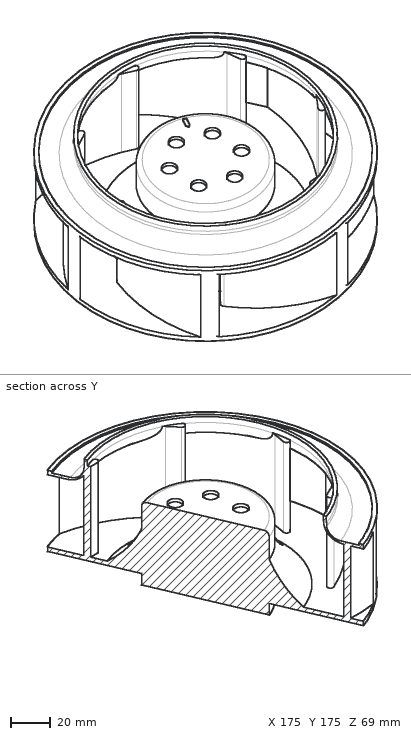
import cadquery as cq
import math


IMPELLER_RADIUS = 87.5
PLATE_THICKNESS = 3.0

SHEET_THICKNESS = 2.0
SHROUD_RIM_TOP = 50.0
RIM_WIDTH = 2.5
RIM_STEP = 1.0
SHROUD_TOP = SHROUD_RIM_TOP - RIM_STEP
SHROUD_UNDERSIDE = SHROUD_TOP - SHEET_THICKNESS

THROAT_OUTER_RADIUS = 67.35
THROAT_FLARE_RADIUS = 7.4
COLLAR_OUTER_RADIUS = 67.2
COLLAR_BASE = 58.5
COLLAR_TOP = 62.0
FLARE_MIDDLE_ANGLE = 225.0
THROAT_TOP = SHROUD_TOP + THROAT_FLARE_RADIUS
FLARE_END_RADIUS = THROAT_OUTER_RADIUS + THROAT_FLARE_RADIUS

AIR_OVERRUN = 2.0

HUB_RADIUS = 35.4
HUB_BOTTOM = -7.0
HUB_TOP = 44.5
HUB_EDGE_FILLET = 3.0
FILLET_MIDDLE_ANGLE = 45.0
SKIRT_TOP = 27.5
SKIRT_BASE_RADIUS = 54.3
SKIRT_SAG = 2.0

HOLE_COUNT = 6
HOLE_DIAMETER = 8.3
HOLE_CIRCLE_RADIUS = 19.5
HOLE_START_ANGLE = 45.0
HOLE_DEPTH = 2.0
MARK_WIDTH = 2.2
MARK_OUTER_RADIUS = 32.1
MARK_TIP_RADIUS = 25.6
MARK_ANGLE = 135.0
MARK_DEPTH = 0.5

BLADE_COUNT = 7
BLADE_THICKNESS = 3.8
BLADE_ARC_RADIUS = 91.1
BLADE_NOSE_RADIAL = 63.65
BLADE_NOSE_ANGLE = 98.2
BLADE_LEAN = 18.6
BLADE_FLAT_SWEEP = 5.2
BLADE_SWEEP = 55.0


def polar(radius, angle, center=(0.0, 0.0)):
    """Point at a radius and an angle in degrees from a center."""
    turn = math.radians(angle)
    return (center[0] + radius * math.cos(turn), center[1] + radius * math.sin(turn))


def make_envelope():
    """Outer body of the impeller, turned with the whole inside still filled up."""
    rim_inner_radius = IMPELLER_RADIUS - RIM_WIDTH
    flare_middle = polar(THROAT_FLARE_RADIUS, FLARE_MIDDLE_ANGLE, (FLARE_END_RADIUS, THROAT_TOP))
    profile = (
        cq.Workplane("XZ")
        .moveTo(0, HUB_BOTTOM)
        .lineTo(HUB_RADIUS, HUB_BOTTOM)
        .lineTo(HUB_RADIUS, 0)
        .lineTo(IMPELLER_RADIUS, 0)
        .lineTo(IMPELLER_RADIUS, SHROUD_RIM_TOP)
        .lineTo(rim_inner_radius, SHROUD_RIM_TOP)
        .lineTo(rim_inner_radius, SHROUD_TOP)
        .lineTo(FLARE_END_RADIUS, SHROUD_TOP)
        .threePointArc(flare_middle, (THROAT_OUTER_RADIUS, THROAT_TOP))
        .lineTo(COLLAR_OUTER_RADIUS, COLLAR_BASE)
        .lineTo(COLLAR_OUTER_RADIUS, COLLAR_TOP)
        .lineTo(0, COLLAR_TOP)
        .close()
    )
    return profile.revolve(360, (0, 0), (0, 1))


def make_air_space():
    """Air between hub, back plate and shroud, reaching past the inlet and the impeller edge."""
    run = SKIRT_BASE_RADIUS - HUB_RADIUS
    drop = SKIRT_TOP - PLATE_THICKNESS
    chord = math.hypot(run, drop)
    skirt_middle = (
        (HUB_RADIUS + SKIRT_BASE_RADIUS) / 2 - SKIRT_SAG * drop / chord,
        (SKIRT_TOP + PLATE_THICKNESS) / 2 - SKIRT_SAG * run / chord,
    )
    hub_face_radius = HUB_RADIUS - HUB_EDGE_FILLET
    hub_edge_base = HUB_TOP - HUB_EDGE_FILLET
    hub_edge_middle = polar(HUB_EDGE_FILLET, FILLET_MIDDLE_ANGLE, (hub_face_radius, hub_edge_base))
    outlet_radius = IMPELLER_RADIUS + AIR_OVERRUN
    inlet_top = COLLAR_TOP + AIR_OVERRUN
    collar_inner_radius = COLLAR_OUTER_RADIUS - SHEET_THICKNESS
    inner_flare_radius = COLLAR_BASE - SHROUD_UNDERSIDE
    inner_flare_end = collar_inner_radius + inner_flare_radius
    inner_flare_middle = polar(inner_flare_radius, FLARE_MIDDLE_ANGLE, (inner_flare_end, COLLAR_BASE))
    profile = (
        cq.Workplane("XZ")
        .moveTo(0, HUB_TOP)
        .lineTo(hub_face_radius, HUB_TOP)
        .threePointArc(hub_edge_middle, (HUB_RADIUS, hub_edge_base))
        .lineTo(HUB_RADIUS, SKIRT_TOP)
        .threePointArc(skirt_middle, (SKIRT_BASE_RADIUS, PLATE_THICKNESS))
        .lineTo(outlet_radius, PLATE_THICKNESS)
        .lineTo(outlet_radius, SHROUD_UNDERSIDE)
        .lineTo(inner_flare_end, SHROUD_UNDERSIDE)
        .threePointArc(inner_flare_middle, (collar_inner_radius, COLLAR_BASE))
        .lineTo(collar_inner_radius, inlet_top)
        .lineTo(0, inlet_top)
        .close()
    )
    return profile.revolve(360, (0, 0), (0, 1))


def make_blade():
    """First blade, standing on Z = 0 and reaching past the impeller edge."""
    outer_arc = BLADE_ARC_RADIUS + BLADE_THICKNESS / 2
    inner_arc = BLADE_ARC_RADIUS - BLADE_THICKNESS / 2
    start = BLADE_NOSE_ANGLE - BLADE_LEAN
    flat_end = start + BLADE_FLAT_SWEEP
    middle = start + BLADE_SWEEP / 2
    end = start + BLADE_SWEEP
    nose = polar(BLADE_NOSE_RADIAL, BLADE_NOSE_ANGLE)
    center = polar(-BLADE_ARC_RADIUS, start, nose)
    nose_front = polar(BLADE_THICKNESS / 2, start - 90.0, nose)
    return (
        cq.Workplane("XY")
        .moveTo(*polar(outer_arc, start, center))
        .threePointArc(polar(outer_arc, middle, center), polar(outer_arc, end, center))
        .lineTo(*polar(inner_arc, end, center))
        .threePointArc(polar(inner_arc, middle, center), polar(inner_arc, flat_end, center))
        .lineTo(*polar(inner_arc, start, center))
        .threePointArc(nose_front, polar(outer_arc, start, center))
        .close()
        .extrude(COLLAR_BASE)
    )


def make_hub_holes():
    return (
        cq.Workplane("XY", origin=(0, 0, HUB_TOP))
        .polarArray(HOLE_CIRCLE_RADIUS, HOLE_START_ANGLE, 360, HOLE_COUNT)
        .circle(HOLE_DIAMETER / 2)
        .extrude(-HOLE_DEPTH)
    )


def make_hub_mark():
    """Shallow pointer slot: round at its outer end, a right-angled tip toward the axis."""
    half_width = MARK_WIDTH / 2
    shoulder = MARK_TIP_RADIUS + half_width
    round_start = MARK_OUTER_RADIUS - half_width
    return (
        cq.Workplane("XY", origin=(0, 0, HUB_TOP))
        .moveTo(MARK_TIP_RADIUS, 0)
        .lineTo(shoulder, -half_width)
        .lineTo(round_start, -half_width)
        .threePointArc((MARK_OUTER_RADIUS, 0), (round_start, half_width))
        .lineTo(shoulder, half_width)
        .close()
        .extrude(-MARK_DEPTH)
        .rotate((0, 0, 0), (0, 0, 1), MARK_ANGLE)
    )


passages = make_air_space()
first_blade = make_blade()
for index in range(BLADE_COUNT):
    passages = passages.cut(first_blade.rotate((0, 0, 0), (0, 0, 1), index * 360.0 / BLADE_COUNT))

result = make_envelope().cut(passages).cut(make_hub_holes()).cut(make_hub_mark())